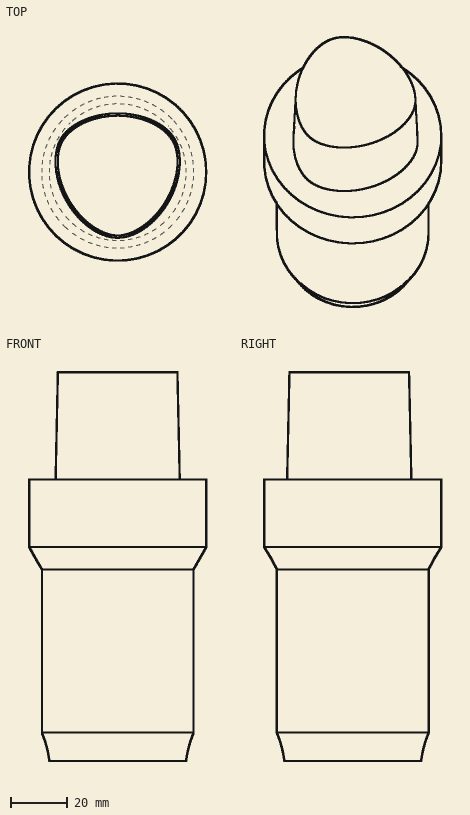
import cadquery as cq
import math

total_height = 138.0
collar_diameter = 62.9
shank_diameter = 54.0
polygon_height = 38.1
collar_base_z = 75.9
collar_cone_height = 7.9
tip_height = 10.1

tip_diameter = 48.6
tip_middle_diameter = 50.5

polygon_base_width = 44.2
polygon_top_width = 42.5
lobe_eccentricity = 1.2
outline_points = 48

collar_top_z = total_height - polygon_height
shank_top_z = collar_base_z - collar_cone_height


def lobed_outline(width):
    """Points on a constant-width, three-lobed curve with one lobe toward -Y.

    The curve is the envelope of tangent lines at distance
    width / 2 + e * cos(3 * turn) from the axis, turn measured from -Y.
    """
    points = []
    for index in range(outline_points):
        turn = 2 * math.pi * index / outline_points
        distance = width / 2 + lobe_eccentricity * math.cos(3 * turn)
        slope = -3 * lobe_eccentricity * math.sin(3 * turn)
        x = distance * math.sin(turn) + slope * math.cos(turn)
        y = -distance * math.cos(turn) + slope * math.sin(turn)
        points.append((x, y))
    return points


def make_body():
    """Revolve the shank, its concave tip and the collar about the Z axis."""
    shank_radius = shank_diameter / 2
    collar_radius = collar_diameter / 2
    return (
        cq.Workplane("XZ")
        .lineTo(tip_diameter / 2, 0)
        .threePointArc((tip_middle_diameter / 2, tip_height / 2), (shank_radius, tip_height))
        .lineTo(shank_radius, shank_top_z)
        .lineTo(collar_radius, collar_base_z)
        .lineTo(collar_radius, collar_top_z)
        .lineTo(0, collar_top_z)
        .close()
        .revolve(360, (0, 0), (0, 1))
    )


def make_polygon():
    """Loft the lobed polygon from the collar face to the narrower top face."""
    return (
        cq.Workplane("XY")
        .workplane(offset=collar_top_z)
        .spline(lobed_outline(polygon_base_width), periodic=True)
        .close()
        .workplane(offset=polygon_height)
        .spline(lobed_outline(polygon_top_width), periodic=True)
        .close()
        .loft(ruled=True, combine=True)
    )


result = make_body().union(make_polygon())